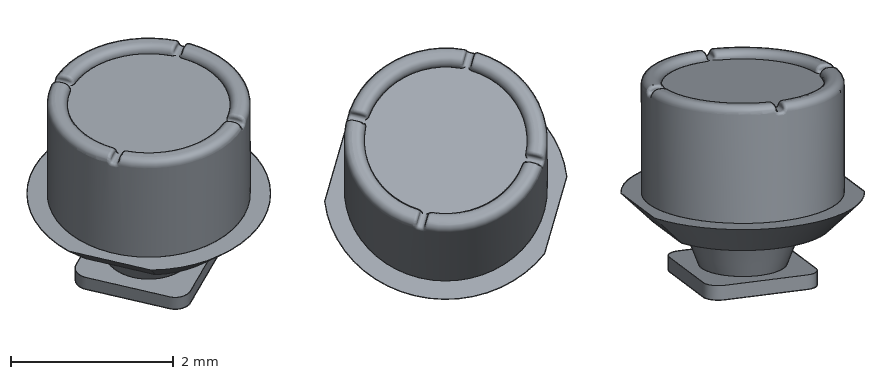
import cadquery as cq

foot_side = 1.5
foot_height = 0.19
foot_corner_radius = 0.2

neck_height = 0.513
neck_bottom_radius = 0.55
neck_top_radius = foot_side / 2

flange_diameter = 3.0
flange_across_flats = 2.8
flange_height = 0.4
flange_slope = 45.0

body_diameter = 2.5
body_height = 1.5
rim_width = 0.25
rim_height = 0.1
rim_fillet = 0.1

notch_count = 4
notch_width = 0.1
notch_bottom_fillet = 0.04
notch_edge_fillet = 0.04

tolerance = 0.0003

neck_base = foot_height
flange_base = neck_base + neck_height
body_base = flange_base + flange_height
body_top = body_base + body_height
recess_floor = body_top - rim_height

body_radius = body_diameter / 2
recess_radius = body_radius - rim_width


def make_foot():
    foot = cq.Workplane("XY").rect(foot_side, foot_side).extrude(foot_height)
    return foot.edges("|Z").fillet(foot_corner_radius)


def make_neck():
    return (
        cq.Workplane("XY", origin=(0, 0, neck_base))
        .circle(neck_bottom_radius)
        .workplane(offset=neck_height)
        .circle(neck_top_radius)
        .loft(ruled=True)
    )


def make_flange():
    top_plane = cq.Plane(origin=(0, 0, body_base), xDir=(1, 0, 0), normal=(0, 0, -1))
    cone = cq.Workplane(top_plane).circle(flange_diameter / 2).extrude(flange_height, taper=flange_slope)
    wedge_length = 2 * flange_diameter
    wedge = (
        cq.Workplane(top_plane)
        .rect(wedge_length, flange_across_flats)
        .extrude(flange_height, taper=flange_slope)
    )
    return cone.intersect(wedge)


def make_notch(angle):
    cutter_height = 2 * rim_height
    cutter = (
        cq.Workplane("XY", origin=(body_radius, 0, recess_floor))
        .box(2 * body_radius, notch_width, cutter_height, centered=(True, True, False))
        .edges("|X and <Z")
        .fillet(notch_bottom_fillet)
    )
    return cutter.rotate((0, 0, 0), (0, 0, 1), angle)


def is_notch_edge(edge):
    box = edge.BoundingBox()
    distance_from_x_axis = max(abs(box.ymin), abs(box.ymax))
    distance_from_y_axis = max(abs(box.xmin), abs(box.xmax))
    within_notch = min(distance_from_x_axis, distance_from_y_axis) <= notch_width / 2 + tolerance
    start, end = edge.startPoint(), edge.endPoint()
    is_level = abs(start.z - end.z) < tolerance
    is_seam = is_level and (start - end).Length > rim_width / 2
    return within_notch and not is_seam


def make_body():
    body = cq.Workplane("XY", origin=(0, 0, body_base)).circle(body_radius).extrude(body_height)

    bore_depth = 3 * rim_height
    bore_base = body_top - bore_depth
    body = body.cut(cq.Workplane("XY", origin=(0, 0, bore_base)).circle(recess_radius).extrude(bore_depth))
    body = body.faces(">Z").edges().fillet(rim_fillet)

    for index in range(notch_count):
        body = body.cut(make_notch(index * 360 / notch_count))
    mouth_edges = [edge for edge in body.edges().vals() if is_notch_edge(edge)]
    body = body.newObject(mouth_edges).fillet(notch_edge_fillet)

    fill_radius = recess_radius + 2 * notch_edge_fillet
    fill_height = recess_floor - bore_base
    fill = cq.Workplane("XY", origin=(0, 0, bore_base)).circle(fill_radius).extrude(fill_height)
    return body.union(fill)


result = make_foot().union(make_neck()).union(make_flange()).union(make_body())